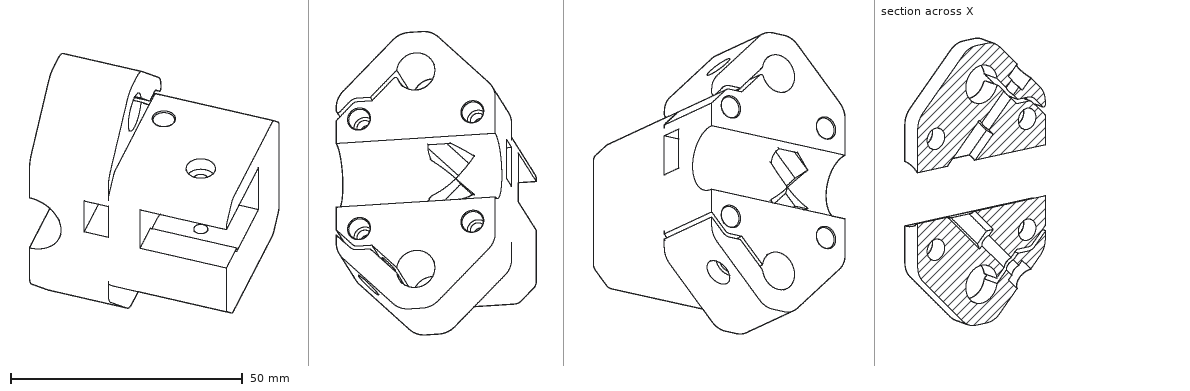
import cadquery as cq
import math

LENGTH = 45.0
WIDTH = 35.0
HEIGHT = 63.0
HALF_WIDTH = WIDTH / 2
HALF_HEIGHT = HEIGHT / 2

CLAMP_DEPTH = 18.0
CLAMP_CHAMFER = 14.0
CLAMP_EDGE_RADIUS = 5.0
BODY_HEIGHT = 33.0
BODY_CHAMFER = 4.0
BODY_EDGE_RADIUS = 2.0

GROOVE_RADIUS = 7.25
PASSAGE_LENGTH = 5.5
PASSAGE_BOTTOM = 1.1
PASSAGE_HEIGHT = 8.9

ROD_RADIUS = 4.2
ROD_HEIGHT = 22.5

SLIT_WIDTH = 0.8
SLIT_FLAT_HEIGHT = 16.45
SLIT_OUTER_SUM = 29.9
SLIT_INNER_SUM = 26.1
SLIT_BEND_RADIUS = 1.5
LIP_RADIUS = 0.5

SCREW_X = 6.0
SCREW_AXIS_DIFFERENCE = -11.8
SCREW_HOLE_RADIUS = 2.0
SCREW_HEAD_RADIUS = 3.0
SCREW_HEAD_DEPTH = 3.35
NUT_AXIS_DIFFERENCE = -11.3
NUT_ACROSS_FLATS = 6.05
NUT_START_SUM = 13.85
NUT_END_SUM = -7.4

INSERT_SPACING = 24.95
INSERT_RADIUS = 2.3
INSERT_MOUTH_RADIUS = 2.5
INSERT_MOUTH_DEPTH = 0.3
INSERT_DEPTH = 6.0
PILOT_RADIUS = 1.65
PILOT_DEPTH = 9.45
DRILL_TIP_ANGLE = 118.0

VERTICAL_HOLE_RADIUS = 1.5
FIXING_X = 22.5
FIXING_Y = 6.35
IDLER_X = 35.3
IDLER_Y = -6.3
IDLER_HEAD_RADIUS = 3.15
IDLER_HEAD_DEPTH = 3.0

POCKET_RADIUS = 10.0
POCKET_FLOOR = 0.0
POCKET_CEILING = 11.1
RECESS_DEPTH = 1.0
RECESS_EDGE_Y = -10.65
BOSS_ROOT_RADIUS = 2.7
BOSS_TIP_RADIUS = 2.15
BOSS_HEIGHT = 0.95

ROOT_TWO = math.sqrt(2)


def box(x_range, y_range, z_range):
    """Box between two limits along each axis."""
    sizes = [high - low for low, high in (x_range, y_range, z_range)]
    corner = (x_range[0], y_range[0], z_range[0])
    return cq.Workplane("XY").box(*sizes, centered=False).translate(corner)


def chamfered_bar(start, length, height, chamfer, radius):
    """Bar along X with chamfered long edges that blend into the flats."""
    bar = cq.Workplane("YZ", origin=(start, 0, 0)).rect(WIDTH, height).extrude(length)
    return bar.edges("|X").chamfer(chamfer).edges("|X").fillet(radius)


def cylinder(start, direction, radius, length):
    return cq.Workplane(cq.Solid.makeCylinder(radius, length, cq.Vector(*start), cq.Vector(*direction)))


def insert_hole(start, direction):
    """Bore for a threaded insert with a tapered mouth."""
    bore = cylinder(start, direction, INSERT_RADIUS, INSERT_DEPTH)
    mouth = cq.Solid.makeCone(
        INSERT_MOUTH_RADIUS, INSERT_RADIUS, INSERT_MOUTH_DEPTH, cq.Vector(*start), cq.Vector(*direction)
    )
    return bore.union(cq.Workplane(mouth))


def blind_insert_hole(y, z):
    """Insert hole along +X with a drilled pilot beyond it, ending in a drill tip."""
    tip_length = PILOT_RADIUS / math.tan(math.radians(DRILL_TIP_ANGLE / 2))
    pilot = cylinder((0, y, z), (1, 0, 0), PILOT_RADIUS, PILOT_DEPTH)
    tip = cq.Solid.makeCone(PILOT_RADIUS, 0, tip_length, cq.Vector(PILOT_DEPTH, y, z), cq.Vector(1, 0, 0))
    return insert_hole((0, y, z), (1, 0, 0)).union(pilot).union(cq.Workplane(tip))


def clamp_slit():
    """Slit from the +Y side to the upper rod hole."""
    side = HALF_WIDTH + 0.6
    inner_end = ROD_RADIUS / 2
    flat_top = SLIT_FLAT_HEIGHT + SLIT_WIDTH
    outer_top_sum = SLIT_OUTER_SUM + SLIT_WIDTH * ROOT_TWO
    inner_top_sum = SLIT_INNER_SUM + SLIT_WIDTH * ROOT_TWO
    lower_bend = (SLIT_OUTER_SUM - SLIT_FLAT_HEIGHT, SLIT_FLAT_HEIGHT)
    upper_bend = (outer_top_sum - flat_top, flat_top)
    points = [
        (side, SLIT_OUTER_SUM - side),
        lower_bend,
        (SLIT_INNER_SUM - SLIT_FLAT_HEIGHT, SLIT_FLAT_HEIGHT),
        (inner_end, SLIT_INNER_SUM - inner_end),
        (inner_end, inner_top_sum - inner_end),
        (inner_top_sum - flat_top, flat_top),
        upper_bend,
        (side, outer_top_sum - side),
    ]
    slit = cq.Workplane("YZ").polyline(points).close().extrude(CLAMP_DEPTH)
    for bend, radius in ((lower_bend, SLIT_BEND_RADIUS), (upper_bend, SLIT_BEND_RADIUS + SLIT_WIDTH)):
        edge = cq.selectors.NearestToPointSelector((CLAMP_DEPTH / 2, *bend))
        slit = slit.edges("|X").edges(edge).fillet(radius)
    return slit


def axis_point(axis_difference, axis_sum):
    """Point in the upper clamp screw plane with the given y - z and y + z."""
    y = (axis_sum + axis_difference) / 2
    z = (axis_sum - axis_difference) / 2
    return (SCREW_X, y, z)


def clamp_screw():
    """Counterbored screw hole and nut well for the upper clamp."""
    face_sum = HALF_WIDTH + HALF_HEIGHT - CLAMP_CHAMFER
    inward = (0, -1, -1)
    hole_length = (face_sum - NUT_START_SUM) / ROOT_TWO
    nut_length = (NUT_START_SUM - NUT_END_SUM) / ROOT_TWO
    screw_start = axis_point(SCREW_AXIS_DIFFERENCE, face_sum)
    nut_start = axis_point(NUT_AXIS_DIFFERENCE, NUT_START_SUM)
    head = cylinder(screw_start, inward, SCREW_HEAD_RADIUS, SCREW_HEAD_DEPTH)
    hole = cylinder(screw_start, inward, SCREW_HOLE_RADIUS, hole_length)
    across_corners = NUT_ACROSS_FLATS / math.cos(math.radians(30))
    nut_plane = cq.Plane(origin=nut_start, xDir=(0, 1, -1), normal=inward)
    nut_well = cq.Workplane(nut_plane).polygon(6, across_corners).extrude(nut_length)
    return head.union(hole).union(nut_well)


def rounded_lips(body):
    """Round the two sharp lips that the upper slit leaves at its ends."""
    side_lip_z = SLIT_OUTER_SUM + SLIT_WIDTH * ROOT_TWO - HALF_WIDTH
    drop = ROD_HEIGHT - SLIT_INNER_SUM
    rod_lip_y = (-drop + math.sqrt(2 * ROD_RADIUS**2 - drop**2)) / 2
    for y, z in ((HALF_WIDTH, side_lip_z), (rod_lip_y, SLIT_INNER_SUM - rod_lip_y)):
        edge = cq.selectors.NearestToPointSelector((CLAMP_DEPTH / 2, y, z))
        body = body.edges("|X").edges(edge).fillet(LIP_RADIUS)
    return body


def pocket_prism(bottom, top):
    """Round-cornered prism of the idler pocket, open to -Y and +X."""
    left = IDLER_X - POCKET_RADIUS
    back = IDLER_Y + POCKET_RADIUS
    bend = POCKET_RADIUS * math.sqrt(0.5)
    return (
        cq.Workplane("XY", origin=(0, 0, bottom))
        .moveTo(left, -HALF_WIDTH)
        .lineTo(left, IDLER_Y)
        .threePointArc((IDLER_X - bend, IDLER_Y + bend), (IDLER_X, back))
        .lineTo(LENGTH, back)
        .lineTo(LENGTH, -HALF_WIDTH)
        .close()
        .extrude(top - bottom)
    )


def idler_pocket():
    """Pocket with a recessed floor and a tapered boss left on its ceiling."""
    recess_bottom = POCKET_FLOOR - RECESS_DEPTH
    recess_area = box((0, LENGTH), (RECESS_EDGE_Y, HALF_WIDTH), (recess_bottom, POCKET_FLOOR))
    recess = pocket_prism(recess_bottom, POCKET_FLOOR).intersect(recess_area)
    boss = cq.Solid.makeCone(
        BOSS_ROOT_RADIUS,
        BOSS_TIP_RADIUS,
        BOSS_HEIGHT,
        cq.Vector(IDLER_X, IDLER_Y, POCKET_CEILING),
        cq.Vector(0, 0, -1),
    )
    return pocket_prism(POCKET_FLOOR, POCKET_CEILING).union(recess).cut(cq.Workplane(boss))


clamp = chamfered_bar(0, CLAMP_DEPTH, HEIGHT, CLAMP_CHAMFER, CLAMP_EDGE_RADIUS)
rear = chamfered_bar(CLAMP_DEPTH, LENGTH - CLAMP_DEPTH, BODY_HEIGHT, BODY_CHAMFER, BODY_EDGE_RADIUS)

for rod_z in (-ROD_HEIGHT, ROD_HEIGHT):
    clamp = clamp.cut(cylinder((0, 0, rod_z), (1, 0, 0), ROD_RADIUS, CLAMP_DEPTH))
upper_slit = clamp_slit()
clamp = clamp.cut(upper_slit).cut(upper_slit.mirror("XY"))
result = rounded_lips(clamp).union(rear)

result = result.cut(cylinder((0, -HALF_WIDTH, 0), (0, 1, 0), GROOVE_RADIUS, WIDTH))
result = result.cut(
    box(
        (CLAMP_DEPTH - PASSAGE_LENGTH, CLAMP_DEPTH),
        (-HALF_WIDTH, HALF_WIDTH),
        (PASSAGE_BOTTOM, PASSAGE_BOTTOM + PASSAGE_HEIGHT),
    )
)

upper_screw = clamp_screw()
result = result.cut(upper_screw).cut(upper_screw.mirror("XY"))

for insert_y in (-INSERT_SPACING / 2, INSERT_SPACING / 2):
    for insert_z in (-INSERT_SPACING / 2, INSERT_SPACING / 2):
        result = result.cut(blind_insert_hole(insert_y, insert_z))

result = result.cut(idler_pocket())
body_top = BODY_HEIGHT / 2
down = (0, 0, -1)
for hole_x, hole_y in ((FIXING_X, FIXING_Y), (IDLER_X, IDLER_Y)):
    result = result.cut(cylinder((hole_x, hole_y, body_top), down, VERTICAL_HOLE_RADIUS, BODY_HEIGHT))
result = result.cut(insert_hole((FIXING_X, FIXING_Y, body_top), down))
result = result.cut(cylinder((IDLER_X, IDLER_Y, body_top), down, IDLER_HEAD_RADIUS, IDLER_HEAD_DEPTH))